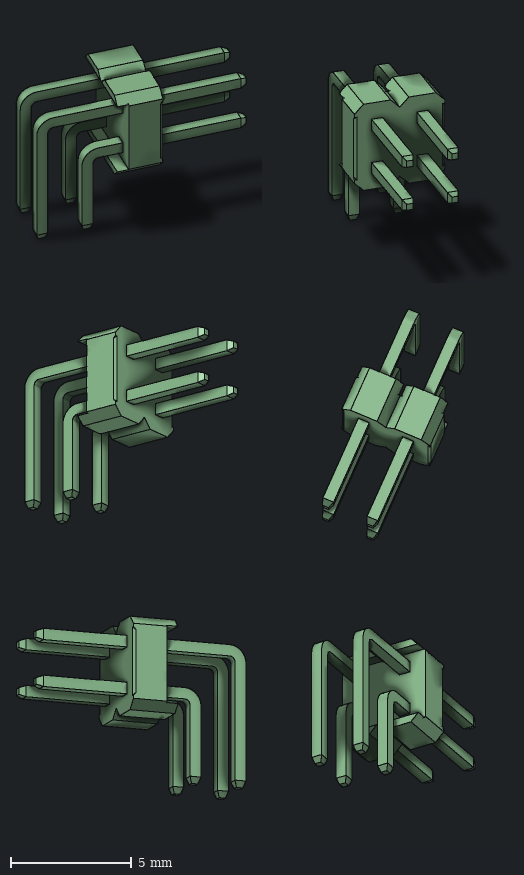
import cadquery as cq

pitch = 2.0
columns = 2
rows = 2

body_width = columns * pitch
body_height = rows * pitch
body_depth = pitch
cell_chamfer = 0.4
lip_depth = 0.5
lip_thickness = 0.35
corner_bevel = 0.1
bevel_margin = 0.55

pin_width = 0.49
bend_radius = 0.74
tip_length = 0.28
tip_inset = 0.1
rear_reach = 4.0
front_reach = 3.3
leg_drop = 2.8

half_width = body_width / 2
half_height = body_height / 2
front_y = -body_depth
tip_z = -half_height - leg_drop
outer_leg_y = front_y - front_reach


def grid_position(index, count):
    """Centre of one cell in a row of cells centred on zero."""
    return (index - (count - 1) / 2) * pitch


def make_cell(x):
    """One full-depth body cell with its four long edges chamfered."""
    return (
        cq.Workplane("XY")
        .box(pitch, body_depth, body_height)
        .edges("|Y")
        .chamfer(cell_chamfer)
        .translate((x, -body_depth / 2, 0))
    )


def make_front_recess():
    """Space between the upper and lower lips, open at both sides."""
    recess_height = body_height - 2 * lip_thickness
    return (
        cq.Workplane("XY")
        .box(body_width, lip_depth, recess_height)
        .translate((0, front_y + lip_depth / 2, 0))
    )


def make_bevel_cutter(side):
    """Wedge for one rear side edge, with ends sloping inward at 45 degrees."""
    long_half = half_height - bevel_margin
    short_half = long_half - corner_bevel
    edge_x = side * half_width
    wedge = (
        cq.Workplane("XY")
        .moveTo(edge_x, 0)
        .lineTo(edge_x - side * corner_bevel, 0)
        .lineTo(edge_x, -corner_bevel)
        .close()
        .extrude(long_half, both=True)
    )
    sloped_ends = (
        cq.Workplane("YZ")
        .moveTo(0, long_half)
        .lineTo(-corner_bevel, short_half)
        .lineTo(-corner_bevel, -short_half)
        .lineTo(0, -long_half)
        .close()
        .extrude(half_width, both=True)
    )
    return wedge.intersect(sloped_ends)


def make_tip(plane):
    """Tapered pin end growing along the normal of the given plane."""
    end_width = pin_width - 2 * tip_inset
    return (
        cq.Workplane(plane)
        .rect(pin_width, pin_width)
        .workplane(offset=tip_length)
        .rect(end_width, end_width)
        .loft(ruled=True)
    )


def make_pin(x, row):
    """Right-angle pin; each higher row has its leg one pitch further forward."""
    z = grid_position(row, rows)
    top_z = z + pin_width / 2
    leg_front_y = outer_leg_y + (rows - 1 - row) * pitch
    leg_y = leg_front_y + pin_width / 2
    shank_end_y = rear_reach - tip_length
    leg_end_z = tip_z + tip_length
    inner_radius = bend_radius - pin_width
    bend_y = leg_front_y + bend_radius
    bend_z = top_z - bend_radius

    shank = (
        cq.Workplane("YZ")
        .moveTo(shank_end_y, top_z)
        .lineTo(bend_y, top_z)
        .radiusArc((leg_front_y, bend_z), -bend_radius)
        .lineTo(leg_front_y, leg_end_z)
        .lineTo(leg_front_y + pin_width, leg_end_z)
        .lineTo(leg_front_y + pin_width, bend_z)
        .radiusArc((bend_y, bend_z + inner_radius), inner_radius)
        .lineTo(shank_end_y, top_z - pin_width)
        .close()
        .extrude(pin_width / 2, both=True)
        .translate((x, 0, 0))
    )
    rear_tip = make_tip(cq.Plane((x, shank_end_y, z), (1, 0, 0), (0, 1, 0)))
    leg_tip = make_tip(cq.Plane((x, leg_y, leg_end_z), (1, 0, 0), (0, 0, -1)))
    return shank.union(rear_tip).union(leg_tip)


column_positions = [grid_position(column, columns) for column in range(columns)]

body = make_cell(column_positions[0])
for x in column_positions[1:]:
    body = body.union(make_cell(x))

body = body.cut(make_front_recess())
for side in (-1, 1):
    body = body.cut(make_bevel_cutter(side))

result = body
for x in column_positions:
    for row in range(rows):
        result = result.union(make_pin(x, row))